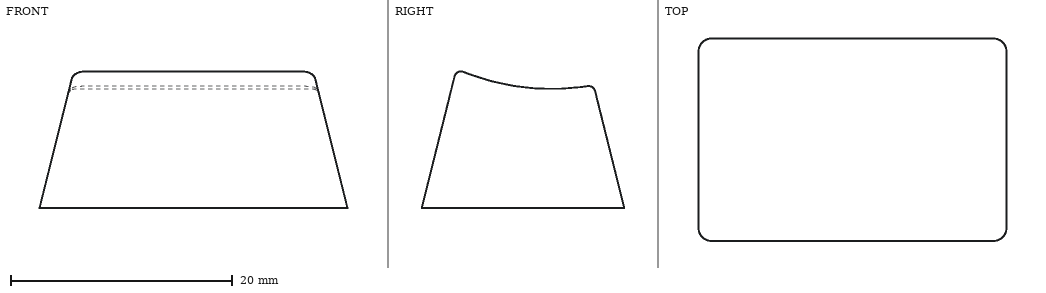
import cadquery as cq

length = 27.82
width = 18.3
wall_draft = 14.0
blank_height = 15.3

corner_radius = 1.25
rim_radius = 0.6

dish_radius = 21.0
dish_low_y = 2.53
dish_low_z = 10.77


def tapered_body():
    """Rectangular block with leaning walls and rounded sloping corners."""
    block = cq.Workplane("XY").rect(length, width).extrude(blank_height, taper=wall_draft)
    sloping_corners = "not(#Z or |X or |Y)"
    return block.edges(sloping_corners).fillet(corner_radius)


def dish_cutter():
    """Cylinder that hollows the top across the full length."""
    return (
        cq.Workplane("YZ")
        .center(dish_low_y, dish_low_z + dish_radius)
        .circle(dish_radius)
        .extrude(length / 2, both=True)
    )


dished_body = tapered_body().cut(dish_cutter())

dish_face = dished_body.faces("%CYLINDER").faces(">Z")
result = dish_face.edges().fillet(rim_radius)